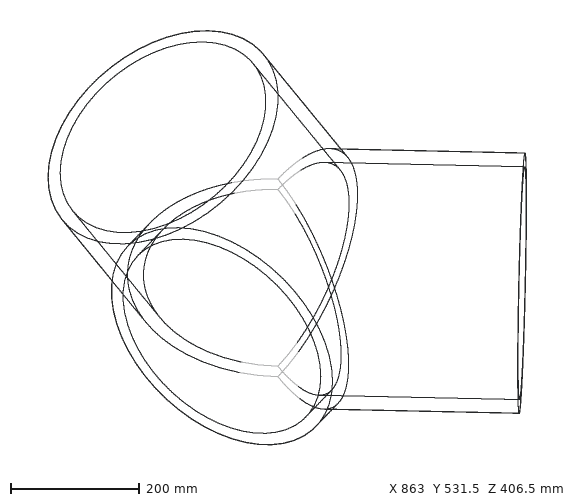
import cadquery as cq
import math

overall_width = 863.0
outer_diameter = 406.5
bore_diameter = 363.0
short_length = 165.0
arm_rise = 30.0

outer_radius = outer_diameter / 2
rise = math.radians(arm_rise)
arm_length = (overall_width / 2 - outer_radius * math.sin(rise)) / math.cos(rise)

legs = [(arm_rise, arm_length), (180 - arm_rise, arm_length), (-90, short_length)]
miter_angle = math.radians(360 / len(legs) / 2)


def mitered_cylinder(diameter, length, direction):
    """Cylinder from the centre outward, mitered where it meets its neighbours."""
    cylinder = cq.Workplane("YZ").circle(diameter / 2).extrude(length)
    half_span = length * math.tan(miter_angle)
    wedge = (
        cq.Workplane("XY")
        .polyline([(0, 0), (length, -half_span), (length, half_span)])
        .close()
        .extrude(diameter, both=True)
    )
    return cylinder.intersect(wedge).rotate((0, 0, 0), (0, 0, 1), direction)


def junction(diameter):
    """All legs at one diameter, joined into a single body."""
    body = cq.Workplane("XY")
    for direction, length in legs:
        body = body.add(mitered_cylinder(diameter, length, direction))
    return body.combine()


result = junction(outer_diameter).cut(junction(bore_diameter))